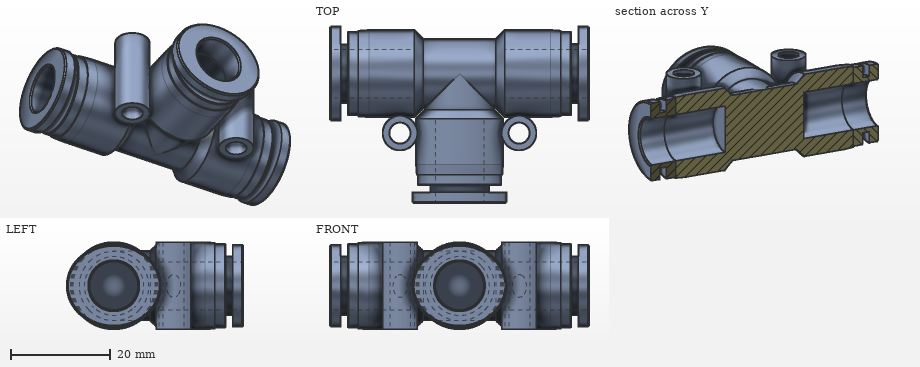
import cadquery as cq


port_reach = 26.1
flange_thickness = 2.15
neck_length = 1.4
cap_length = 2.2
flange_back = port_reach - flange_thickness
cap_face = flange_back - neck_length
seam = cap_face - cap_length
taper_start = 18.3
barrel_start = 9.1
bore_floor = barrel_start

barrel_diameter = 17.6
barrel_mouth_diameter = 17.3
core_diameter = 14.0
cap_diameter = 16.9
neck_diameter = 11.9
bore_diameter = 9.75
bore_chamfer = 0.3
cap_chamfer = 0.2
flange_chamfer = 0.3
flange_width = 19.0
flange_height = 16.6

shoulder_start = barrel_start - (barrel_diameter - core_diameter) / 2

post_diameter = 7.0
post_hole_diameter = 4.2
post_offset = 12.0
post_height = barrel_diameter

port_angles = {"branch": 0, "right": 90, "left": -90}


def turned(profile):
    """Revolve a (radius, station) profile about Y, with stations running along -Y."""
    points = [(radius, -station) for radius, station in profile]
    return cq.Workplane("XY").polyline(points).close().revolve(360, (0, 0), (0, 1))


def place(port, angle):
    return port.rotate((0, 0, 0), (0, 0, 1), angle)


def arm():
    """Solid arm of the housing from the tee centre to the seam."""
    core_radius = core_diameter / 2
    barrel_radius = barrel_diameter / 2
    return turned([
        (0, 0),
        (core_radius, 0),
        (core_radius, shoulder_start),
        (barrel_radius, barrel_start),
        (barrel_radius, taper_start),
        (barrel_mouth_diameter / 2, seam),
        (0, seam),
    ])


def socket():
    """Blind bore that takes the tube."""
    bore_radius = bore_diameter / 2
    return turned([(0, bore_floor), (bore_radius, bore_floor), (bore_radius, seam), (0, seam)])


def post_cylinders(diameter):
    centres = [(side * post_offset, -post_offset) for side in (-1, 1)]
    return (
        cq.Workplane("XY")
        .workplane(offset=-post_height / 2)
        .pushPoints(centres)
        .circle(diameter / 2)
        .extrude(post_height)
    )


def build_housing():
    housing = post_cylinders(post_diameter)
    for angle in port_angles.values():
        housing = housing.union(place(arm(), angle))
    for angle in port_angles.values():
        housing = housing.cut(place(socket(), angle))
    return housing.cut(post_cylinders(post_hole_diameter))


def oval_flange():
    """Oval flange with a chamfered outer rim."""
    return (
        cq.Workplane("XZ", origin=(0, -flange_back, 0))
        .ellipse(flange_width / 2, flange_height / 2)
        .extrude(flange_thickness)
        .faces("<Y")
        .chamfer(flange_chamfer)
    )


def build_collar():
    """Cap ring, neck and flange in one piece, bored through for the tube."""
    cap_radius = cap_diameter / 2
    neck_radius = neck_diameter / 2
    bore_radius = bore_diameter / 2
    body = turned([
        (0, seam),
        (cap_radius, seam),
        (cap_radius, cap_face - cap_chamfer),
        (cap_radius - cap_chamfer, cap_face),
        (neck_radius, cap_face),
        (neck_radius, flange_back),
        (0, flange_back),
    ])
    bore = turned([
        (0, seam),
        (bore_radius, seam),
        (bore_radius, port_reach - bore_chamfer),
        (bore_radius + bore_chamfer, port_reach),
        (0, port_reach),
    ])
    return body.union(oval_flange()).cut(bore)


housing = build_housing()
collars = [place(build_collar(), angle) for angle in port_angles.values()]

result = cq.Compound.makeCompound([housing.val(), *[collar.val() for collar in collars]])